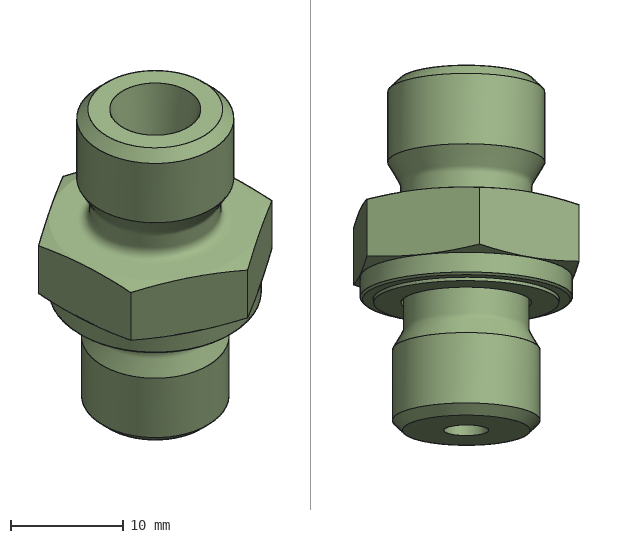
import cadquery as cq
import math


stud_length = 12.0
collar_height = 2.0
hex_height = 6.0
tube_end_length = 12.0
collar_bottom = stud_length
hex_bottom = collar_bottom + collar_height
hex_top = hex_bottom + hex_height
fitting_top = hex_top + tube_end_length

stud_radius = 13.16 / 2
stud_neck_radius = 11.2 / 2
stud_chamfer = 0.9
stud_thread_end = 7.35

hex_across_flats = 19.0
hex_across_corners = hex_across_flats / math.cos(math.radians(30))
hex_chamfer_angle = 15.0
collar_radius = 18.9 / 2
collar_chamfer = 0.2

tube_end_radius = 14.0 / 2
tube_end_neck_radius = 11.7 / 2
tube_end_chamfer = 1.0
tube_end_thread_start = hex_top + 4.55
neck_root_radius = 1.0

runout_angle = 30.0
runout_blend_radius = 1.0

through_bore_radius = 4.0 / 2
tube_socket_radius = 6.0 / 2
tube_socket_depth = 7.0
socket_mouth_radius = 8.1 / 2
socket_cone_angle = 12.0

seal_outer_radius = 16.5 / 2
seal_inner_radius = 11.6 / 2
seal_thickness = 1.5
seal_protrusion = 0.3
seal_recess_radius = 16.6 / 2
seal_bottom = collar_bottom - seal_protrusion
seal_recess_top = seal_bottom + seal_thickness


def revolve_profile(profile):
    """Turn a closed (radius, height) outline about the Z axis."""
    return profile.close().revolve(360, (0, 0, 0), (0, 1, 0))


def runout_points(neck_radius, thread_radius, thread_edge, toward_neck):
    """Cone end, blend arc middle and neck start of a thread runout, from thread to neck.

    toward_neck is +1 when the neck lies above the thread and -1 when it lies below.
    """
    slope = math.radians(runout_angle)
    cone_end_radius = neck_radius + runout_blend_radius * (1 - math.cos(slope))
    cone_height = (thread_radius - cone_end_radius) / math.tan(slope)
    blend_height = runout_blend_radius * math.sin(slope)
    neck_start = thread_edge + toward_neck * (cone_height + blend_height)

    def blend_point(angle):
        radius = neck_radius + runout_blend_radius * (1 - math.cos(angle))
        height = neck_start - toward_neck * runout_blend_radius * math.sin(angle)
        return radius, height

    return blend_point(slope), blend_point(slope / 2), blend_point(0)


def make_stud():
    """Lower stud, reaching up through the collar to the hexagon."""
    cone_end, blend_middle, neck_start = runout_points(
        stud_neck_radius, stud_radius, stud_thread_end, 1)
    return revolve_profile(
        cq.Workplane("XZ")
        .moveTo(0, 0)
        .lineTo(stud_radius - stud_chamfer, 0)
        .lineTo(stud_radius, stud_chamfer)
        .lineTo(stud_radius, stud_thread_end)
        .lineTo(*cone_end)
        .threePointArc(blend_middle, neck_start)
        .lineTo(stud_neck_radius, hex_bottom)
        .lineTo(0, hex_bottom)
    )


def make_collar():
    """Round collar below the hexagon, with the recess for the seal ring in its lower face."""
    collar = (
        cq.Workplane("XY", origin=(0, 0, collar_bottom))
        .circle(collar_radius)
        .extrude(collar_height)
        .faces("<Z")
        .chamfer(collar_chamfer)
    )
    recess = (
        cq.Workplane("XY", origin=(0, 0, collar_bottom))
        .circle(seal_recess_radius)
        .extrude(seal_recess_top - collar_bottom)
    )
    return collar.cut(recess)


def make_hexagon():
    """Hexagon with flats on +X and -X and conical chamfers on both ends."""
    corner_radius = hex_across_corners / 2
    chamfer_drop = (corner_radius - collar_radius) * math.tan(math.radians(hex_chamfer_angle))
    prism = (
        cq.Workplane("XY", origin=(0, 0, hex_bottom))
        .polygon(6, hex_across_corners)
        .extrude(hex_height)
        .rotate((0, 0, 0), (0, 0, 1), 30)
    )
    chamfer_envelope = revolve_profile(
        cq.Workplane("XZ")
        .moveTo(0, hex_bottom)
        .lineTo(collar_radius, hex_bottom)
        .lineTo(corner_radius, hex_bottom + chamfer_drop)
        .lineTo(corner_radius, hex_top - chamfer_drop)
        .lineTo(collar_radius, hex_top)
        .lineTo(0, hex_top)
    )
    return prism.intersect(chamfer_envelope)


def make_tube_end():
    """Upper threaded end, with a fillet where its neck meets the hexagon."""
    cone_end, blend_middle, neck_start = runout_points(
        tube_end_neck_radius, tube_end_radius, tube_end_thread_start, -1)
    root_offset = neck_root_radius * (1 - math.sqrt(0.5))
    return revolve_profile(
        cq.Workplane("XZ")
        .moveTo(0, hex_top)
        .lineTo(tube_end_neck_radius + neck_root_radius, hex_top)
        .threePointArc(
            (tube_end_neck_radius + root_offset, hex_top + root_offset),
            (tube_end_neck_radius, hex_top + neck_root_radius),
        )
        .lineTo(*neck_start)
        .threePointArc(blend_middle, cone_end)
        .lineTo(tube_end_radius, tube_end_thread_start)
        .lineTo(tube_end_radius, fitting_top - tube_end_chamfer)
        .lineTo(tube_end_radius - tube_end_chamfer, fitting_top)
        .lineTo(0, fitting_top)
    )


def make_bore():
    """Through bore that widens into a tube socket with a conical mouth at the top."""
    socket_floor = fitting_top - tube_socket_depth
    cone_depth = (socket_mouth_radius - tube_socket_radius) / math.tan(math.radians(socket_cone_angle))
    return revolve_profile(
        cq.Workplane("XZ")
        .moveTo(0, 0)
        .lineTo(through_bore_radius, 0)
        .lineTo(through_bore_radius, socket_floor)
        .lineTo(tube_socket_radius, socket_floor)
        .lineTo(tube_socket_radius, fitting_top - cone_depth)
        .lineTo(socket_mouth_radius, fitting_top)
        .lineTo(0, fitting_top)
    )


def make_fitting():
    """Complete fitting body."""
    outside = make_hexagon().union(make_collar()).union(make_stud()).union(make_tube_end())
    return outside.cut(make_bore()).solids()


def make_seal_ring():
    """Flat seal ring seated in the collar recess and standing slightly proud of it."""
    return (
        cq.Workplane("XY", origin=(0, 0, seal_bottom))
        .circle(seal_outer_radius)
        .circle(seal_inner_radius)
        .extrude(seal_thickness)
    )


fitting = make_fitting()
seal_ring = make_seal_ring()

result = cq.Compound.makeCompound([fitting.val(), seal_ring.val()])